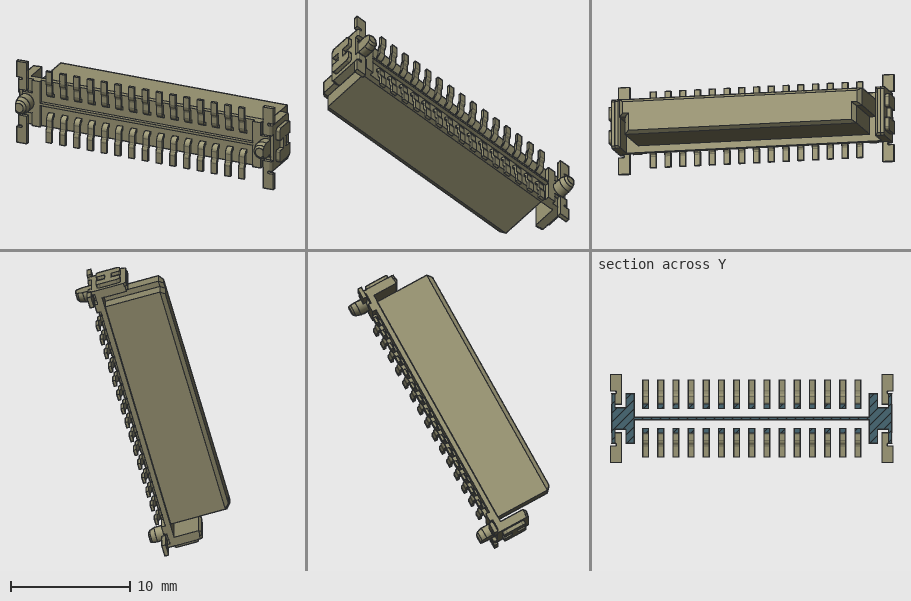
import cadquery as cq


length = 24.13
tower_top = 5.89
peg_tip = -1.4
overall_height = 7.4
tab_reach = overall_height / 2

body_half_height = 2.08
base_thickness = 0.77
wall_outer = 11.44
wall_inner = 10.98
wall_top = 3.1
wall_chamfer = 0.2
recess_half_length = 9.82
recess_depth = 0.34
rib_half_height = 0.109
corner_inner = 10.55
corner_depth = 0.27
corner_start = 0.92

tower_half_length = 10.45
tower_half_height = 1.5
tower_key_step = 0.48
tower_chamfer_depth = 0.35
tower_chamfer_inset = 0.27

peg_center = 11.12
peg_radius = 0.75
peg_cone_start = -0.8
peg_cone_end = -1.23
peg_cone_radius = 0.6
peg_tip_radius = 0.4

plate_outer = 11.73
plate_top = 3.05
plate_bottom = 0.05
clip_front = -0.3
tab_start = 1.18
tab_outer = 11.85
tab_inner = 10.9
bend_radius = 0.17
notch_height = 0.22
notch_end = 11.35
notch_fillet = 0.1

pad_low = 0.55
pad_high = 2.6
pad_half_height = 1.57
pad_gap_half = 0.45
pad_outer_fillet = 0.3
pad_inner_fillet = 0.12
web_low = 1.3
web_high = 1.85

pin_count = 15
pin_row_length = 17.78
pin_pitch = pin_row_length / (pin_count - 1)
pin_width = 0.5
pin_thickness = 0.25
pin_root = 0.75
pin_root_radius = 0.53
pin_shoulder = -0.15
pin_step_start = 1.85
pin_step_end = 2.3
pin_step_radius = 0.25
pin_end = 3.23


def block(x0, x1, y0, y1, z0, z1):
    """Box between two opposite corners."""
    return cq.Workplane("XY").box(x1 - x0, y1 - y0, z1 - z0, centered=False).translate((x0, y0, z0))


def both_ends(shape):
    """The shape at the -X end and its mirror image at the +X end."""
    return shape.union(shape.mirror("YZ"))


def both_rows(shape):
    """The shape on the +Z side and its mirror image on the -Z side."""
    return shape.union(shape.mirror("XY"))


def make_base():
    base = block(-wall_outer, wall_outer, 0, base_thickness, -body_half_height, body_half_height)
    wall = block(-wall_outer, -wall_inner, 0, wall_top, -body_half_height, body_half_height)
    wall = wall.faces(">Y").edges("|X or >X").chamfer(wall_chamfer)
    recess = block(-recess_half_length, recess_half_length, 0, recess_depth,
                   rib_half_height, body_half_height)
    corner = block(-wall_outer, -corner_inner, 0, corner_depth, corner_start, body_half_height)
    return base.union(both_ends(wall)).cut(both_rows(recess)).cut(both_ends(both_rows(corner)))


def tower_outline(y, inset_x, inset_z):
    """Stepped tower outline at height y, drawn inwards by the given insets."""
    wide = tower_half_length - inset_x
    narrow = wide - tower_key_step
    high = tower_half_height - inset_z
    points = [(-wide, high), (wide, high), (wide, inset_z), (narrow, inset_z),
              (narrow, -high), (-narrow, -high), (-narrow, inset_z), (-wide, inset_z)]
    return cq.Wire.makePolygon([cq.Vector(x, y, z) for x, z in points], close=True)


def make_tower():
    shoulder = tower_top - tower_chamfer_depth
    straight = cq.Solid.makeLoft([tower_outline(0, 0, 0), tower_outline(shoulder, 0, 0)], True)
    lead_in = cq.Solid.makeLoft(
        [tower_outline(shoulder, 0, 0),
         tower_outline(tower_top, tower_chamfer_depth, tower_chamfer_inset)], True)
    tower = cq.Workplane(straight).union(cq.Workplane(lead_in))
    return tower.cut(block(-length, length, 0, base_thickness / 2, -length, length))


def make_peg():
    """Peg with a conical tip, cut flat where it passes the end of the housing."""
    profile = [(0, base_thickness / 2), (peg_radius, base_thickness / 2), (peg_radius, peg_cone_start),
               (peg_cone_radius, peg_cone_end), (peg_tip_radius, peg_tip), (0, peg_tip)]
    peg = cq.Workplane("XY").polyline(profile).close().revolve(360, (0, 0), (0, 1))
    peg = peg.translate((-peg_center, 0, 0))
    return peg.cut(block(-length, -wall_outer, -length, length, -length, length))


def make_pad():
    half_pad = block(-length / 2, -plate_outer, pad_low, pad_high, pad_gap_half, pad_half_height)
    half_pad = half_pad.edges("|X and >Z").fillet(pad_outer_fillet)
    half_pad = half_pad.edges("|X and <Z").fillet(pad_inner_fillet)
    web = block(-length / 2, -plate_outer, web_low, web_high, -pad_gap_half, pad_gap_half)
    return both_rows(half_pad).union(web)


def make_clip():
    """Side plate with two soldering tabs bent inwards under the housing."""
    plate = block(-plate_outer, -wall_outer, plate_bottom, plate_top, -body_half_height, body_half_height)
    plate = plate.faces(">Y").edges("|X").chamfer(wall_chamfer)
    root = block(-plate_outer, -tab_inner, clip_front, plate_bottom, tab_start, body_half_height)
    root = root.edges("<X and <Y").fillet(bend_radius)
    foot = block(-tab_outer, -tab_inner, clip_front, plate_bottom, body_half_height, tab_reach)
    notch = block(-length / 2, -notch_end, clip_front, plate_bottom,
                  body_half_height, body_half_height + notch_height)
    foot = foot.cut(notch.edges("|Y and >X").fillet(notch_fillet))
    return plate.union(both_rows(root.union(foot))).union(make_pad())


def make_pin():
    """Pin in the upper row: quarter bend out of the housing, flat, S-shaped step, foot."""
    step_length = pin_step_end - pin_step_start
    step_drop = pin_shoulder - clip_front
    small_share = pin_step_radius / (2 * pin_step_radius + pin_thickness)
    large_share = 1 - small_share
    inner = pin_shoulder + pin_thickness
    bend_z = pin_root + pin_root_radius
    bend_y = pin_shoulder + pin_root_radius
    outline = (
        cq.Workplane("YZ")
        .moveTo(bend_y, pin_root)
        .radiusArc((pin_shoulder, bend_z), pin_root_radius)
        .lineTo(pin_shoulder, pin_step_start)
        .tangentArcPoint((-small_share * step_drop, small_share * step_length))
        .tangentArcPoint((-large_share * step_drop, large_share * step_length))
        .lineTo(clip_front, pin_end)
        .lineTo(clip_front + pin_thickness, pin_end)
        .lineTo(clip_front + pin_thickness, pin_step_end)
        .tangentArcPoint((small_share * step_drop, -small_share * step_length))
        .tangentArcPoint((large_share * step_drop, -large_share * step_length))
        .lineTo(inner, bend_z)
        .radiusArc((bend_y, pin_root + pin_thickness), -(pin_root_radius - pin_thickness))
        .close()
    )
    return outline.extrude(pin_width / 2, both=True)


result = make_base().union(make_tower())
result = result.union(both_ends(make_peg()))
result = result.union(both_ends(make_clip()))
pin_pair = both_rows(make_pin())
for index in range(pin_count):
    pin_x = index * pin_pitch - pin_row_length / 2
    result = result.union(pin_pair.translate((pin_x, 0, 0)))